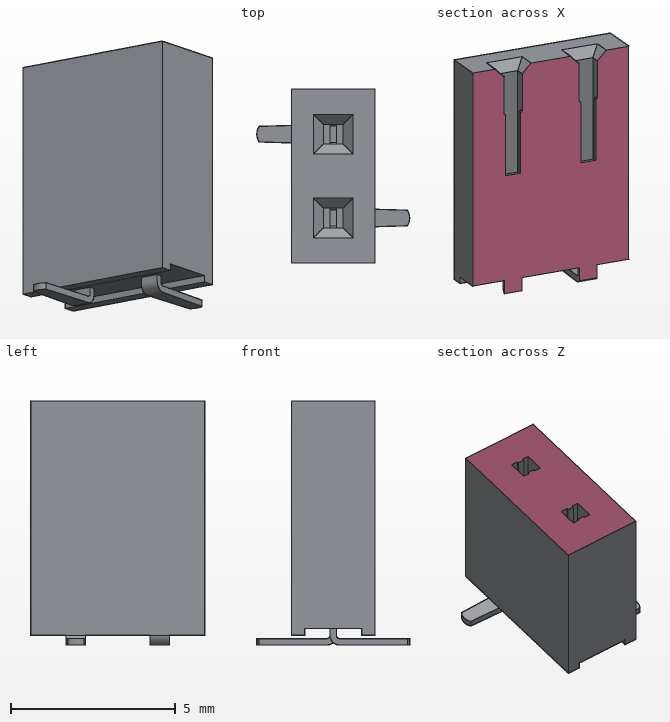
import cadquery as cq

PITCH = 2.54
BODY_X = PITCH
BODY_Y = 5.28
BODY_Z = 7.1
STANDOFF = 0.3
BODY_TOP = STANDOFF + BODY_Z

CHANNEL_WIDTH = 1.72
CHANNEL_DEPTH = 0.2

SOCKET_MOUTH = 1.2
SOCKET_HOLE = 0.6
FUNNEL_DEPTH = 0.3
SOCKET_DEPTH = 4.0
SOCKET_FLOOR = BODY_TOP - SOCKET_DEPTH

FORK_GAP = 0.49
FORK_ROOT_HEIGHT = 0.5
PRONG_LENGTH = 2.0

LEAD_SPAN = 4.64
LEAD_REACH = LEAD_SPAN / 2
LEAD_THICKNESS = 0.2
LEAD_WIDTH = 0.6
LEAD_TIP_WIDTH = 0.48
TIP_BULGE = 0.075
BEND_INNER_RADIUS = 0.1
BEND_OUTER_RADIUS = BEND_INNER_RADIUS + LEAD_THICKNESS
STEM_OVERLAP = 0.2
STEM_TOP = STANDOFF + CHANNEL_DEPTH + STEM_OVERLAP

CONTACTS = [(-PITCH / 2, 1), (PITCH / 2, -1)]


def make_housing():
    """Rectangular block with a channel along its underside."""
    block = cq.Workplane("XY").workplane(offset=STANDOFF).rect(BODY_X, BODY_Y).extrude(BODY_Z)
    channel = (
        cq.Workplane("XY").workplane(offset=STANDOFF).rect(CHANNEL_WIDTH, BODY_Y).extrude(CHANNEL_DEPTH)
    )
    return block.cut(channel)


def make_socket(y):
    """Volume removed for one contact socket."""
    funnel = (
        cq.Workplane("XY")
        .workplane(offset=BODY_TOP)
        .center(0, y)
        .rect(SOCKET_MOUTH, SOCKET_MOUTH)
        .workplane(offset=-FUNNEL_DEPTH)
        .rect(SOCKET_HOLE, SOCKET_HOLE)
        .loft(ruled=True)
    )
    hole = (
        cq.Workplane("XY")
        .workplane(offset=SOCKET_FLOOR)
        .center(0, y)
        .rect(SOCKET_HOLE, SOCKET_HOLE)
        .extrude(SOCKET_DEPTH - FUNNEL_DEPTH)
    )
    return funnel.union(hole)


def make_fork(y):
    """Flat fork filling the socket across Y, its prongs bevelled towards the gap."""
    half_gap = FORK_GAP / 2
    half_hole = SOCKET_HOLE / 2
    bevel = half_hole - half_gap
    root_top = SOCKET_FLOOR + FORK_ROOT_HEIGHT
    prong_top = root_top + PRONG_LENGTH
    return (
        cq.Workplane("YZ")
        .moveTo(y - half_hole, SOCKET_FLOOR)
        .lineTo(y - half_hole, prong_top)
        .lineTo(y - half_gap, prong_top - bevel)
        .lineTo(y - half_gap, root_top)
        .lineTo(y + half_gap, root_top)
        .lineTo(y + half_gap, prong_top - bevel)
        .lineTo(y + half_hole, prong_top)
        .lineTo(y + half_hole, SOCKET_FLOOR)
        .close()
        .extrude(LEAD_THICKNESS / 2, both=True)
    )


def make_lead(y, direction):
    """Bent strip: a vertical stem turning into a tapered foot with a rounded tip."""
    half_thickness = LEAD_THICKNESS / 2
    half_width = LEAD_WIDTH / 2
    half_tip = LEAD_TIP_WIDTH / 2
    bend_x = half_thickness + BEND_INNER_RADIUS
    tip_x = LEAD_REACH - TIP_BULGE
    strip = (
        cq.Workplane("XZ")
        .moveTo(-half_thickness, STEM_TOP)
        .lineTo(-half_thickness, BEND_OUTER_RADIUS)
        .radiusArc((bend_x, 0), -BEND_OUTER_RADIUS)
        .lineTo(LEAD_REACH, 0)
        .lineTo(LEAD_REACH, LEAD_THICKNESS)
        .lineTo(bend_x, LEAD_THICKNESS)
        .radiusArc((half_thickness, BEND_OUTER_RADIUS), BEND_INNER_RADIUS)
        .lineTo(half_thickness, STEM_TOP)
        .close()
        .extrude(half_width, both=True)
    )
    plan = (
        cq.Workplane("XY")
        .moveTo(-half_thickness, -half_width)
        .lineTo(bend_x, -half_width)
        .lineTo(tip_x, -half_tip)
        .threePointArc((LEAD_REACH, 0), (tip_x, half_tip))
        .lineTo(bend_x, half_width)
        .lineTo(-half_thickness, half_width)
        .close()
        .extrude(STEM_TOP)
    )
    lead = strip.intersect(plan)
    if direction < 0:
        lead = lead.mirror("YZ")
    return lead.translate((0, y, 0))


result = make_housing()
for contact_y, lead_direction in CONTACTS:
    result = result.cut(make_socket(contact_y))
    result = result.union(make_fork(contact_y))
    result = result.union(make_lead(contact_y, lead_direction))